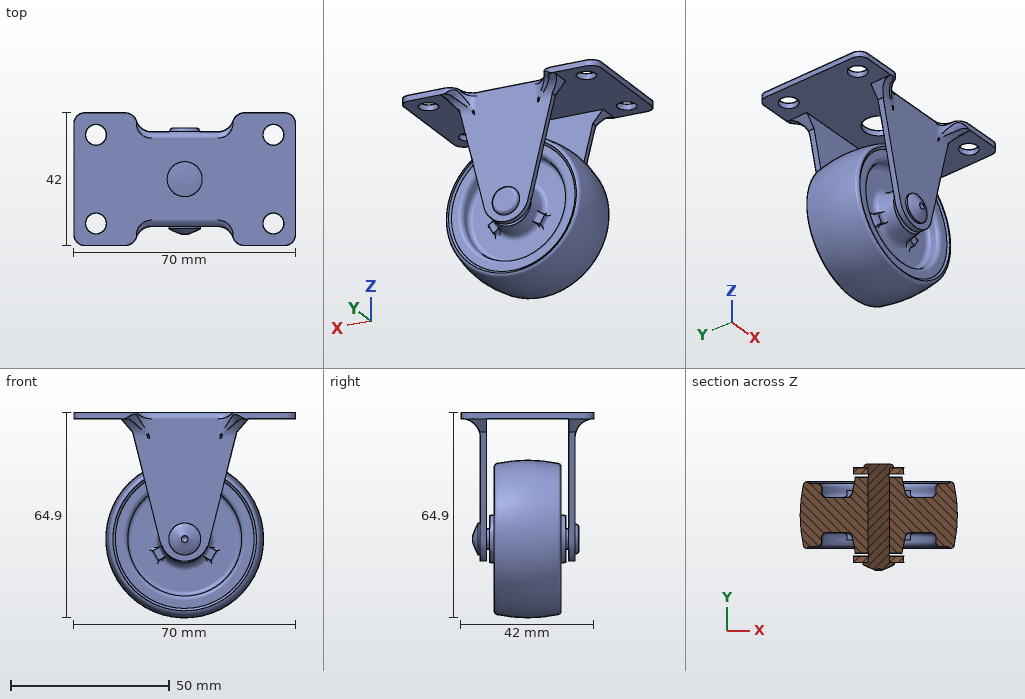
import cadquery as cq
import math


plate_length = 70.0
plate_width = 42.0
sheet = 2.0
plate_top = 40.0
plate_bottom = plate_top - sheet
corner_radius = 3.5
mount_hole_diameter = 6.5
mount_pitch_x = 56.0
mount_pitch_y = 28.0
center_hole_diameter = 11.05

leg_inner = 12.95
leg_outer = leg_inner + sheet
flare_half_width = 20.1
flare_corner_x = 16.45
flare_corner_drop = 4.2
flare_corner_z = plate_bottom - flare_corner_drop
leg_end_radius = 8.0
leg_end_rise = 1.0
flare_radius = 5.95

bend_half_length = 10.5
notch_radius = 5.0
ear_radius = 4.0
notch_y = leg_outer + notch_radius
ear_y = plate_width / 2 - ear_radius
ear_x = bend_half_length + math.sqrt((ear_radius + notch_radius) ** 2 - (notch_y - ear_y) ** 2)
ear_joint_angle = math.atan2(ear_y - notch_y, ear_x - bend_half_length)
notch_sweep = math.pi / 2 + ear_joint_angle

CORNER_STEPS = 6
ARC_RISE = 0.3
ARC_RADIUS = (1 + ARC_RISE**2) / (2 * ARC_RISE)
ARC_OVERRUN = 0.24
ARC_DROP = math.sqrt(ARC_RADIUS**2 - 1) - math.sqrt(ARC_RADIUS**2 - (1 + ARC_OVERRUN) ** 2)
least_rounding = 0.1
tool_margin = 0.7
flare_start = 0.1

shaft_radius = 3.3
rivet_radius = 5.05
rivet_rim = 0.6
rivet_shoulder_radius = 3.8
rivet_shoulder = 1.3
rivet_tip_radius = 1.05
rivet_height = 2.45
dimple_depth = 0.6
button_radius = 4.75
button_height = 1.2
button_fillet = 1.1

wheel_radius = 24.9
tread_half_width = 10.6
crown_edge_radius = 23.95
shoulder_radius = 1.25
crown_half_width = tread_half_width - shoulder_radius
shoulder_base_radius = crown_edge_radius - shoulder_radius

rim_half_width = 10.0
rim_step_radius = 21.9
web_half_width = 5.6
recess_radius = 18.0
recess_fillet = 1.5
hub_half_width = 12.05
hub_end_radius = 7.4
hub_base_radius = 8.7
hub_fillet = 1.75

lug_angles = (-30, -150)
lug_reach = 10.6
lug_width = 3.6
lug_height = 2.2
lug_fillet = 0.85
lug_slab = 0.7

EDGE_TOLERANCE = 0.01


def make_legs():
    """Both legs: the tapered outline seen along Y, kept where the section across X has material."""
    rise = flare_corner_z - leg_end_rise
    reach = math.hypot(flare_corner_x, rise)
    tangent_angle = math.atan2(rise, flare_corner_x) - math.acos(leg_end_radius / reach)
    tangent_x = leg_end_radius * math.cos(tangent_angle)
    tangent_z = leg_end_rise + leg_end_radius * math.sin(tangent_angle)
    outline = (
        cq.Workplane("XZ")
        .moveTo(-flare_half_width, plate_bottom)
        .lineTo(-flare_corner_x, flare_corner_z)
        .lineTo(-tangent_x, tangent_z)
        .threePointArc((0, leg_end_rise - leg_end_radius), (tangent_x, tangent_z))
        .lineTo(flare_corner_x, flare_corner_z)
        .lineTo(flare_half_width, plate_bottom)
        .close()
        .extrude(plate_width / 2, both=True)
    )
    section = (
        cq.Workplane("YZ")
        .moveTo(leg_inner, plate_bottom)
        .lineTo(leg_outer + flare_radius, plate_bottom)
        .radiusArc((leg_outer, plate_bottom - flare_radius), -flare_radius)
        .lineTo(leg_outer, -leg_end_radius)
        .lineTo(leg_inner, -leg_end_radius)
        .close()
        .extrude(flare_half_width, both=True)
    )
    leg = outline.intersect(section)
    return leg.union(leg.mirror("XZ"))


def on_circle(center_x, center_y, radius, angle):
    """Point on a circle in the XY plane, at an angle from +X."""
    return center_x + radius * math.cos(angle), center_y + radius * math.sin(angle)


def notch_cutter():
    """Notch on the -Y side: concave corners that run into rounded ears."""
    ear_mid = on_circle(-ear_x, -ear_y, ear_radius, ear_joint_angle / 2 - math.pi / 4)
    joint = on_circle(-ear_x, -ear_y, ear_radius, ear_joint_angle)
    notch_mid = on_circle(-bend_half_length, -notch_y, notch_radius, math.pi / 2 + notch_sweep / 2)
    return (
        cq.Workplane("XY")
        .moveTo(-ear_x, -plate_width / 2)
        .threePointArc(ear_mid, joint)
        .threePointArc(notch_mid, (-bend_half_length, -leg_outer))
        .lineTo(bend_half_length, -leg_outer)
        .threePointArc((-notch_mid[0], notch_mid[1]), (-joint[0], joint[1]))
        .threePointArc((-ear_mid[0], ear_mid[1]), (ear_x, -plate_width / 2))
        .close()
        .extrude(plate_top)
    )


def rounding_section(edge, inward, corner_z, wall_z, inset, face_z, drop):
    """Section of a tool that rounds the edge between an upright wall and a face above or below it.

    The arc spans from the wall at height wall_z to the face at a distance inset behind the wall.
    Its ends run on along the chord, set back from the corner by drop half-chords.
    """

    def point(depth, z):
        return cq.Vector(edge[0] + depth * inward[0], edge[1] + depth * inward[1], z)

    outward_z = math.copysign(tool_margin, corner_z - wall_z)
    wall_point = point(0, wall_z)
    face_point = point(inset, face_z)
    chord_mid = (wall_point + face_point) * 0.5
    half_chord = face_point - chord_mid
    to_corner = point(0, corner_z) - chord_mid
    arc_mid = chord_mid + to_corner * ARC_RISE
    start = chord_mid - half_chord * (1 + ARC_OVERRUN) - to_corner * drop
    end = chord_mid + half_chord * (1 + ARC_OVERRUN) - to_corner * drop
    outside = point(-tool_margin, start.z) + start - wall_point
    far_z = end.z + outward_z
    corners = [
        end,
        cq.Vector(end.x, end.y, far_z),
        cq.Vector(outside.x, outside.y, far_z),
        cq.Vector(outside.x, outside.y, start.z),
        start,
    ]
    lines = [cq.Edge.makeLine(first, last) for first, last in zip(corners, corners[1:])]
    return cq.Wire.assembleEdges([cq.Edge.makeThreePointArc(start, arc_mid, end)] + lines)


def bend_section(edge, inward, radius):
    """Section that rounds the top edge, its arc passing through both ends of the chord."""
    return rounding_section(edge, inward, plate_top, plate_top - radius, radius, plate_top, ARC_DROP)


def flare_depth(y):
    """Distance of a point from the outer leg face, as far as the flare reaches."""
    return min(max(-y - leg_outer, 0), flare_radius)


def flare_z(y):
    """Height of the flare between the outer leg face and the plate."""
    return plate_bottom - flare_radius + math.sqrt(flare_radius**2 - (flare_radius - flare_depth(y)) ** 2)


def flare_edge_section(edge, inward, rise):
    """Section that rounds the lower edge, where the flare meets the notch wall."""
    inset = min(rise, flare_depth(edge[1]) / 2)
    corner_z = flare_z(edge[1])
    face_z = flare_z(edge[1] + inset * inward[1])
    return rounding_section(edge, inward, corner_z, corner_z + rise, inset, face_z, 0)


def corner_tools():
    """Tools for the notch corner at -X, -Y.

    Around the corner the bend radius of the top edge fades out while the rounding of the lower edge
    grows; along the ear the lower rounding fades out again.
    """
    bend_sections = []
    flare_sections = []
    for step in range(CORNER_STEPS + 1):
        share = step / CORNER_STEPS
        angle = math.pi / 2 + share * notch_sweep
        edge = on_circle(-bend_half_length, -notch_y, notch_radius, angle)
        inward = (math.cos(angle), math.sin(angle))
        bend_radius = max(sheet * math.cos(share * math.pi / 2), least_rounding)
        bend_sections.append(bend_section(edge, inward, bend_radius))
    for step in range(CORNER_STEPS + 1):
        growth = step / CORNER_STEPS
        angle = math.pi / 2 + (flare_start + growth * (1 - flare_start)) * notch_sweep
        edge = on_circle(-bend_half_length, -notch_y, notch_radius, angle)
        inward = (math.cos(angle), math.sin(angle))
        rise = max(sheet * math.sin(growth * math.pi / 2), least_rounding)
        flare_sections.append(flare_edge_section(edge, inward, rise))
    for step in range(1, CORNER_STEPS + 1):
        share = step / CORNER_STEPS
        angle = ear_joint_angle - share * (math.pi / 2 + ear_joint_angle)
        edge = on_circle(-ear_x, -ear_y, ear_radius, angle)
        inward = (-math.cos(angle), -math.sin(angle))
        rise = max(sheet * math.cos(share * math.pi / 2), least_rounding)
        flare_sections.append(flare_edge_section(edge, inward, rise))
    return [cq.Solid.makeLoft(bend_sections), cq.Solid.makeLoft(flare_sections)]


def straight_bend_tool():
    """Tool that rounds the top edge above the flat part of the -Y leg."""
    ends = [(-bend_half_length, -leg_outer), (bend_half_length, -leg_outer)]
    return cq.Solid.makeLoft([bend_section(end, (0, 1), sheet) for end in ends], True)


def make_bracket():
    plate = (
        cq.Workplane("XY")
        .workplane(offset=plate_bottom)
        .rect(plate_length, plate_width)
        .extrude(sheet)
        .edges("|Z")
        .fillet(corner_radius)
    )
    body = plate.union(make_legs())

    notch = notch_cutter()
    body = body.cut(notch).cut(notch.mirror("XZ"))

    left_tools = corner_tools()
    right_tools = [tool.mirror("YZ") for tool in left_tools]
    for tool in left_tools + right_tools + [straight_bend_tool()]:
        body = body.cut(cq.Workplane(tool)).cut(cq.Workplane(tool.mirror("XZ")))

    mount_holes = (
        cq.Workplane("XY")
        .workplane(offset=plate_bottom)
        .rect(mount_pitch_x, mount_pitch_y, forConstruction=True)
        .vertices()
        .circle(mount_hole_diameter / 2)
        .extrude(sheet)
    )
    center_hole = (
        cq.Workplane("XY").workplane(offset=plate_bottom).circle(center_hole_diameter / 2).extrude(sheet)
    )
    axle_hole = cq.Workplane("XZ").circle(shaft_radius).extrude(leg_outer, both=True)
    return body.cut(mount_holes).cut(center_hole).cut(axle_hole)


def make_axle():
    half = leg_outer
    tip = -half - rivet_height
    axle = (
        cq.Workplane("XY")
        .moveTo(0, tip + dimple_depth)
        .lineTo(rivet_tip_radius, tip)
        .lineTo(rivet_shoulder_radius, -half - rivet_shoulder)
        .lineTo(rivet_radius, -half - rivet_rim)
        .lineTo(rivet_radius, -half)
        .lineTo(shaft_radius, -half)
        .lineTo(shaft_radius, half)
        .lineTo(button_radius, half)
        .lineTo(button_radius, half + button_height)
        .lineTo(0, half + button_height)
        .close()
        .revolve(360, (0, 0, 0), (0, 1, 0))
    )
    return axle.faces(">Y").edges().fillet(button_fillet)


def circles_of_radius(body, radius):
    return body.edges("%CIRCLE").filter(lambda edge: abs(edge.radius() - radius) < EDGE_TOLERANCE)


def make_hub():
    """Hub that tapers from the web to both of its ends."""
    return (
        cq.Workplane("XY")
        .moveTo(0, -hub_half_width)
        .lineTo(hub_end_radius, -hub_half_width)
        .lineTo(hub_base_radius, -web_half_width)
        .lineTo(hub_base_radius, web_half_width)
        .lineTo(hub_end_radius, hub_half_width)
        .lineTo(0, hub_half_width)
        .close()
        .revolve(360, (0, 0, 0), (0, 1, 0))
    )


def make_lug(angle):
    """Block on the -Y face of the web that reaches out of the hub, with a rounded foot.

    It stands on a slab within the web, which only carries the foot fillet.
    """
    slab_length = 2 * (lug_reach + 2 * lug_fillet)
    slab_width = lug_width + 4 * lug_fillet
    lug = (
        cq.Workplane("XZ", origin=(0, -web_half_width, 0))
        .rect(slab_length, slab_width)
        .extrude(-lug_slab)
        .faces("<Y")
        .workplane(origin=(lug_reach / 2, 0, 0))
        .rect(lug_reach, lug_width)
        .extrude(lug_height)
    )
    foot = cq.selectors.BoxSelector(
        (-EDGE_TOLERANCE, -web_half_width - EDGE_TOLERANCE, -lug_width / 2 - EDGE_TOLERANCE),
        (lug_reach + EDGE_TOLERANCE, -web_half_width + EDGE_TOLERANCE, lug_width / 2 + EDGE_TOLERANCE),
    )
    return lug.edges(foot).fillet(lug_fillet).rotate((0, 0, 0), (0, 1, 0), -angle)


def is_lug_top_at_hub(edge):
    """True for the arc where the flat top of a lug meets the hub."""
    box = edge.BoundingBox()
    on_lug_top = abs(abs(box.center.y) - web_half_width - lug_height) < EDGE_TOLERANCE
    return on_lug_top and edge.Length() < 2 * lug_width


def make_wheel():
    wheel = (
        cq.Workplane("XY")
        .moveTo(0, -rim_half_width)
        .lineTo(rim_step_radius, -rim_half_width)
        .lineTo(shoulder_base_radius, -tread_half_width)
        .radiusArc((crown_edge_radius, -crown_half_width), -shoulder_radius)
        .threePointArc((wheel_radius, 0), (crown_edge_radius, crown_half_width))
        .radiusArc((shoulder_base_radius, tread_half_width), -shoulder_radius)
        .lineTo(rim_step_radius, rim_half_width)
        .lineTo(0, rim_half_width)
        .close()
        .revolve(360, (0, 0, 0), (0, 1, 0))
    )
    recess = (
        cq.Workplane("XZ", origin=(0, -web_half_width, 0))
        .circle(recess_radius)
        .extrude(tread_half_width)
    )
    wheel = wheel.cut(recess).cut(recess.mirror("XZ"))
    wheel = circles_of_radius(wheel, recess_radius).fillet(recess_fillet)
    wheel = wheel.union(make_hub())
    wheel = circles_of_radius(wheel, hub_base_radius).fillet(hub_fillet)
    for angle in lug_angles:
        lug = make_lug(angle)
        wheel = wheel.union(lug).union(lug.mirror("XZ"))
    wheel = wheel.edges("%CIRCLE or %ELLIPSE").filter(is_lug_top_at_hub).fillet(lug_fillet)
    bore = cq.Workplane("XZ").circle(shaft_radius).extrude(hub_half_width, both=True)
    return wheel.cut(bore)


bracket = make_bracket()
axle = make_axle()
wheel = make_wheel()

result = cq.Compound.makeCompound([bracket.val(), wheel.val(), axle.val()])